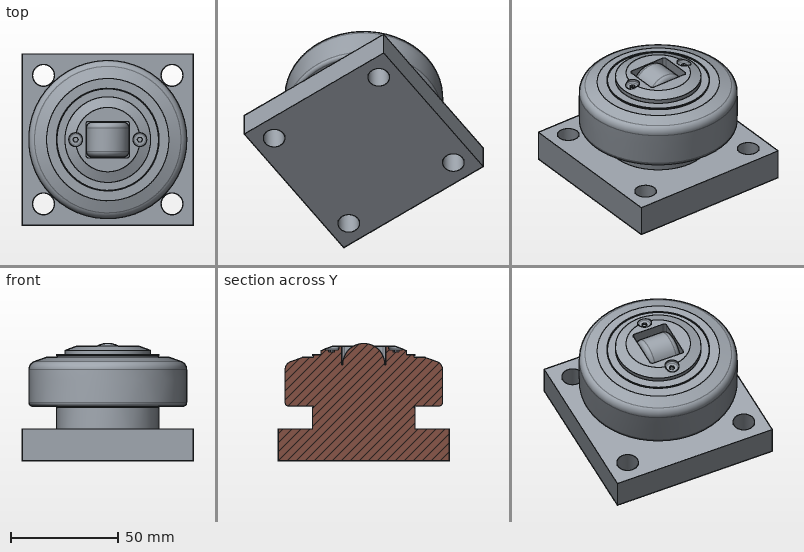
import cadquery as cq
import math

plate_side = 80.0
plate_thickness = 15.0
bolt_hole_diameter = 10.1
bolt_spacing = 60.0

neck_radius = 24.0
neck_top = 25.0
core_radius = 23.7
washer_thickness = 0.3
washer_top = 49.6

roller_radius = 36.9
roller_crown = 0.1
roller_bottom = 25.5
roller_top = 48.5
roller_lower_fillet = 1.8
roller_upper_fillet = 4.0
roller_flat_radius = 28.6
roller_cone_angle = math.radians(19.5)

cap_radius = 20.0
cap_top = 53.6
cap_bevel_width = 5.0
cap_bevel_height = 2.0

overall_height = 55.0
axial_roller_radius = 10.0
axial_roller_length = 16.2
axial_roller_crown = 0.1
axial_roller_fillet = 2.6
pocket_width = 20.3
pocket_length = 17.1
pocket_corner_radius = 1.2
axial_roller_axis = overall_height - axial_roller_radius

screw_spacing = 30.0
seat_diameter = 6.5
seat_floor_diameter = 5.4
seat_depth = 1.7
hex_socket_corners = 2.5
hex_socket_depth = 1.0


def cylinder(radius, bottom, top):
    return cq.Workplane("XY").workplane(offset=bottom).circle(radius).extrude(top - bottom)


def mounting_plate():
    plate = cq.Workplane("XY").box(plate_side, plate_side, plate_thickness, centered=(True, True, False))
    holes = plate.faces(">Z").workplane().rect(bolt_spacing, bolt_spacing, forConstruction=True).vertices()
    return holes.hole(bolt_hole_diameter)


def pin():
    neck = cylinder(neck_radius, plate_thickness, neck_top)
    core = cylinder(core_radius, neck_top, washer_top)
    washer = cylinder(neck_radius, washer_top - washer_thickness, washer_top)
    return neck.union(core).union(washer)


def main_roller():
    fillet_centre_radius = roller_radius - roller_upper_fillet
    cone_start_radius = fillet_centre_radius + roller_upper_fillet * math.sin(roller_cone_angle)
    cone_width = cone_start_radius - roller_flat_radius
    cone_start_height = roller_top - cone_width * math.tan(roller_cone_angle)
    face_bottom = roller_bottom + roller_lower_fillet
    face_top = cone_start_height - roller_upper_fillet * math.cos(roller_cone_angle)
    profile = (
        cq.Workplane("XZ")
        .moveTo(0, roller_bottom)
        .lineTo(roller_radius - roller_lower_fillet, roller_bottom)
        .radiusArc((roller_radius, face_bottom), -roller_lower_fillet)
        .threePointArc((roller_radius + roller_crown, (face_bottom + face_top) / 2), (roller_radius, face_top))
        .radiusArc((cone_start_radius, cone_start_height), -roller_upper_fillet)
        .lineTo(roller_flat_radius, roller_top)
        .lineTo(0, roller_top)
        .close()
    )
    return profile.revolve(360, (0, 0, 0), (0, 1, 0))


def bevelled_cap():
    blank = cylinder(cap_radius, washer_top, cap_top)
    return blank.faces(">Z").chamfer(cap_bevel_height, cap_bevel_width)


def roller_pocket():
    return (
        cq.Workplane("XY")
        .workplane(offset=axial_roller_axis)
        .rect(pocket_width, pocket_length)
        .extrude(cap_top - axial_roller_axis)
        .edges("|Z")
        .fillet(pocket_corner_radius)
    )


def axial_roller():
    half_length = axial_roller_length / 2
    half_face = half_length - axial_roller_fillet
    edge_radius = axial_roller_radius - axial_roller_crown
    end_radius = edge_radius - axial_roller_fillet
    profile = (
        cq.Workplane("YZ", origin=(0, 0, axial_roller_axis))
        .moveTo(-half_length, 0)
        .lineTo(-half_length, end_radius)
        .radiusArc((-half_face, edge_radius), axial_roller_fillet)
        .threePointArc((0, axial_roller_radius), (half_face, edge_radius))
        .radiusArc((half_length, end_radius), axial_roller_fillet)
        .lineTo(half_length, 0)
        .close()
    )
    return profile.revolve(360, (0, 0, 0), (1, 0, 0))


def screw_seat(x):
    floor = cap_top - seat_depth
    floor_fillet = (seat_diameter - seat_floor_diameter) / 2
    seat = (
        cq.Workplane("XY", origin=(x, 0, floor))
        .circle(seat_diameter / 2)
        .extrude(seat_depth)
        .faces("<Z")
        .edges()
        .fillet(floor_fillet)
    )
    socket = (
        cq.Workplane("XY", origin=(x, 0, floor))
        .polygon(6, hex_socket_corners)
        .extrude(-hex_socket_depth)
    )
    return seat.union(socket)


result = mounting_plate().union(pin()).union(main_roller()).union(bevelled_cap())
result = result.cut(roller_pocket()).union(axial_roller())
for side in (-1, 1):
    result = result.cut(screw_seat(side * screw_spacing / 2))